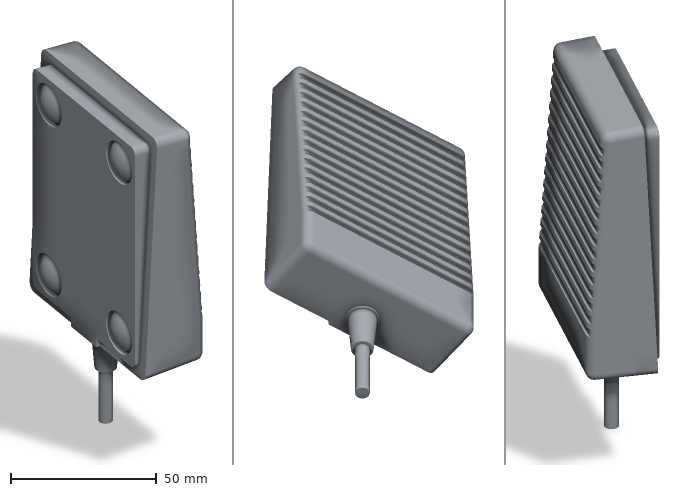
import cadquery as cq
import math

overall_height = 134.0
body_width = 72.0
body_height = 97.0
front_y_bottom = 1.3
front_y_top = 6.5
back_y_bottom = 26.4
back_y_top = 21.0
back_top_z = 95.8
back_bottom_z = 0.4
kink_z = 18.1
edge_radius = 3.1

groove_count = 15
grooved_length = 75.0
groove_pitch = grooved_length / groove_count
groove_width = 3.0
groove_depth = 1.1

plate_width = 63.5
plate_bottom_z = 3.6
plate_top_z = 93.4
plate_top_drop = 0.4
plate_corner_radius = 2.7
tab_width = 15.7

foot_diameter = 16.1
foot_recess = 2.1
foot_protrusion = 1.6
foot_spacing_x = 43.7
foot_low_z = 13.5
foot_high_z = 83.0

cable_y = 9.0
cable_radius = 2.5
cable_end_z = body_height - overall_height
collar_radius = 5.9
collar_bottom_z = -0.5
sleeve_top_radius = 5.1
sleeve_bottom_radius = 3.9
sleeve_end_z = -15.3


def make_body():
    """Extruded wedge, rounded on every edge except the rim of the front face and the back kink."""
    profile = [
        (front_y_bottom, 0),
        (back_y_bottom, back_bottom_z),
        (back_y_bottom, kink_z),
        (back_y_top, back_top_z),
        (front_y_top, body_height),
    ]
    body = cq.Workplane("YZ").polyline(profile).close().extrude(body_width / 2, both=True)
    front_rim = body.faces("<Y").edges()
    kink = body.edges(cq.selectors.NearestToPointSelector((0, back_y_bottom, kink_z)))
    sharp = front_rim.vals() + kink.vals()
    rounded = [e for e in body.edges().vals() if not any(e.isSame(s) for s in sharp)]
    return body.newObject(rounded).fillet(edge_radius)


def make_grooves():
    """Full-width bars sunk into the sloped back face, the first one starting at the kink."""
    slope = math.degrees(math.atan2(back_y_bottom - back_y_top, back_top_z - kink_z))
    bars = cq.Workplane("XY")
    for i in range(groove_count):
        bar = cq.Workplane("XY").box(
            body_width, 2 * groove_depth, groove_width, centered=(True, True, False)
        )
        bars = bars.add(bar.translate((0, 0, i * groove_pitch)))
    grooves = bars.combine()
    return grooves.rotate((0, 0, 0), (1, 0, 0), slope).translate((0, back_y_bottom, kink_z))


def make_plate():
    """Flat plate standing proud of the leaning front face, down to the housing edge at the tab."""
    profile = [
        (0, plate_bottom_z),
        (front_y_top, plate_bottom_z),
        (front_y_top, plate_top_z - plate_top_drop),
        (0, plate_top_z),
    ]
    plate = (
        cq.Workplane("YZ")
        .polyline(profile)
        .close()
        .extrude(plate_width / 2, both=True)
        .edges("not (|X or |Z)")
        .fillet(plate_corner_radius)
    )
    tab_height = 2 * plate_bottom_z
    tab = cq.Workplane("XY").box(tab_width, front_y_top, tab_height, centered=(True, False, False))
    return plate.union(tab)


def make_foot_recess():
    """Round recess with its axis along Y."""
    return cq.Workplane("XZ").circle(foot_diameter / 2).extrude(-foot_recess)


def make_foot():
    """Spherical cap rising from the recess floor."""
    radius = foot_diameter / 2
    crown = (0, -foot_protrusion)
    rise = foot_recess + foot_protrusion
    sphere_radius = (radius**2 + rise**2) / (2 * rise)
    half_angle = math.asin(radius / sphere_radius) / 2
    middle = (
        sphere_radius * math.sin(half_angle),
        sphere_radius * (1 - math.cos(half_angle)) - foot_protrusion,
    )
    return (
        cq.Workplane("XY")
        .moveTo(0, foot_recess)
        .lineTo(*crown)
        .threePointArc(middle, (radius, foot_recess))
        .close()
        .revolve(360, (0, 0, 0), (0, 1, 0))
    )


def make_cable():
    """Collar, tapered sleeve and cable turned around one vertical axis."""
    root_z = edge_radius
    half_profile = [
        (0, root_z),
        (collar_radius, root_z),
        (collar_radius, collar_bottom_z),
        (sleeve_top_radius, collar_bottom_z),
        (sleeve_bottom_radius, sleeve_end_z),
        (cable_radius, sleeve_end_z),
        (cable_radius, cable_end_z),
        (0, cable_end_z),
    ]
    cable = cq.Workplane("XZ").polyline(half_profile).close().revolve(360, (0, 0, 0), (0, 1, 0))
    return cable.translate((0, cable_y, 0))


result = make_body().cut(make_grooves()).union(make_plate())
for foot_x in (-foot_spacing_x / 2, foot_spacing_x / 2):
    for foot_z in (foot_low_z, foot_high_z):
        place = (foot_x, 0, foot_z)
        result = result.cut(make_foot_recess().translate(place)).union(make_foot().translate(place))
result = result.union(make_cable())